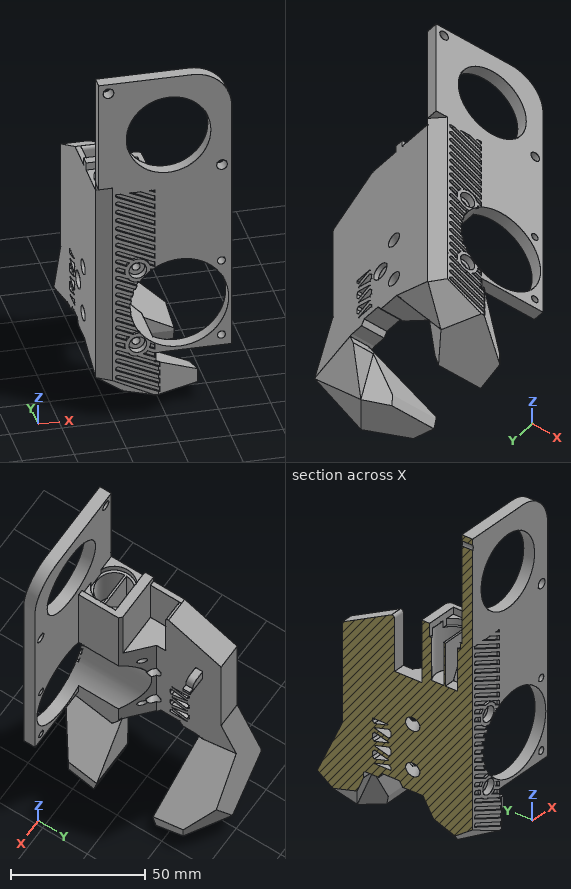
import cadquery as cq
import math


PLATE_WIDTH = 51.0
PLATE_TOP = 144.9
PLATE_BOTTOM = 26.7
PLATE_THICKNESS = 5.2
PLATE_CORNER_RADIUS = 15.2
NECK_WIDTH = 21.6
EDGE_CHAMFER = 5.4
CHAMFER_FOOT_Z = 16.8

UPPER_OPENING_DIAMETER = 32.3
UPPER_OPENING_X = 26.8
UPPER_OPENING_Z = 120.1
PLATE_HOLE_DIAMETER = 4.0
PLATE_HOLES = [(3.8, 141.0), (47.2, 104.5)]
FAN_OPENING_DIAMETER = 37.5
FAN_X = 31.0
FAN_Z = 47.1
FAN_SCREW_SPACING = 32.0
FAN_SCREW_DIAMETER = 3.0
SCREW_HEAD_DIAMETER = 6.7
SCREW_HEAD_DEPTH = 2.9

WALL_THICKNESS = 10.9
BODY_BOTTOM = 22.6
WALL_TOP = 96.9
WALL_TOP_BACK = 38.1
WALL_BACK = 61.7
WALL_BACK_TOP = 84.6
WALL_BACK_BOTTOM = 40.1
DUCT_WIDTH = 21.9
DUCT_TOP = 100.0
DUCT_BACK = 24.2
DUCT_BEVEL_START = 23.0
DUCT_BEVEL_END = 32.7

SOCKET_WIDTH = 19.7
SOCKET_BACK = 20.3
BORE_X = 10.3
BORE_Y = 13.3
BORE_RIM_DIAMETER = 17.5
BORE_DIAMETER = 15.4
BORE_RIM_DEPTH = 2.9
BORE_DEPTH = 21.7
DIVIDER_THICKNESS = 0.9

POCKET_SKIN = 2.2
POCKET_BACK = 36.8
POCKET_FLOOR = 72.5
POCKET_EDGE_RADIUS = 1.5

NOTCH_CENTRE = 38.8
NOTCH_WIDTH = 11.5
NOTCH_TOP_WIDTH = 8.3
NOTCH_HEIGHT = 2.3

SIDE_HOLE_Y = 25.2
SIDE_HOLE_ZS = (32.3, 52.3)
SIDE_HOLE_DIAMETER = 5.6
SIDE_HOLE_LENGTH = 43.5
SIDE_HOLE_TILT = 30.0
RECESS_Y = 33.3
RECESS_Z = 42.2
RECESS_HEIGHT = 6.8
RECESS_DEPTH = 2.2
RECESS_WIDTH = 7.8

WEDGE_COUNT = 6
WEDGE_PITCH = 3.9
WEDGE_FIRST_Z = 28.1
WEDGE_CENTRE_Y = 43.0
WEDGE_LENGTH = 7.7
WEDGE_OFFSET = 0.5
WEDGE_HEIGHT = 3.8
WEDGE_CORNER = 0.9

HOOK_FRONT = 50.3
HOOK_WIDTH = 3.2
HOOK_Z = 68.1
HOOK_HEIGHT = 4.9
HOOK_LENGTH = 6.5
LIP_LENGTH = 2.0
LIP_HEIGHT = 1.5

NOZZLE_END = 41.1
NOZZLE_FOOT_Z = 8.4
NOZZLE_ROOT_X = 22.9

FRONT_SHOULDER = (5.2, 16.1)
FRONT_INNER = (23.6, 22.6)
FRONT_NECK = (21.9, 19.8)
BACK_HEEL = (76.6, 8.0)
BACK_SLOPE = (BACK_HEEL[0] - WALL_BACK) / (WALL_BACK_BOTTOM - BACK_HEEL[1])
BACK_SHOULDER_Z = 16.4
BACK_SHOULDER = (WALL_BACK + BACK_SLOPE * (WALL_BACK_BOTTOM - BACK_SHOULDER_Z), BACK_SHOULDER_Z)
BACK_INNER = (50.3, 22.6)

GROOVE_ANGLE = 25.0
GROOVE_WIDTH = 1.7
GROOVE_DEPTH = 1.0
GROOVE_RUN = 92.7
GROOVE_LEFT = 6.5
GROOVE_RIGHT = NECK_WIDTH
GROOVE_NOZZLE_RIGHT = 23.6
GROOVE_TOP = WALL_TOP
GROOVE_FIRST_Z = 18.0
GROOVE_COUNT = 27
GROOVE_PITCH = GROOVE_RUN / (GROOVE_COUNT - 1)
SCREW_CLEAR_RADIUS = 4.9


def box(x0, x1, y0, y1, z0, z1):
    return cq.Workplane("XY").box(x1 - x0, y1 - y0, z1 - z0, centered=False).translate((x0, y0, z0))


def front_hole(x, z, diameter, depth):
    """Cylinder that enters the front face and runs along +Y."""
    return cq.Workplane("XZ").center(x, z).circle(diameter / 2).extrude(-depth)


def trim(solid, on_a, on_b, on_c):
    """Cut away the side of plane ABC from which A, B and C run counterclockwise."""
    a, b, c = cq.Vector(*on_a), cq.Vector(*on_b), cq.Vector(*on_c)
    plane = cq.Plane(origin=a, normal=(b - a).cross(c - a))
    return solid.cut(cq.Workplane(plane).rect(4 * PLATE_TOP, 4 * PLATE_TOP).extrude(4 * PLATE_TOP))


def trim_edge_on(solid, on_a, on_b):
    """Cut along the plane parallel to X through two (Y, Z) points, A and B."""
    return trim(solid, (0, *on_a), (0, *on_b), (-1.5, *on_a))


def trim_upright(solid, on_a, on_b):
    """Cut along the plane parallel to Z through two (X, Y) points, A and B."""
    return trim(solid, (*on_a, 0), (*on_b, 0), (*on_a, 1.5))


def face_plate():
    outline = (
        cq.Workplane("XZ")
        .moveTo(0, BODY_BOTTOM)
        .lineTo(0, PLATE_TOP)
        .lineTo(PLATE_WIDTH - PLATE_CORNER_RADIUS, PLATE_TOP)
        .radiusArc((PLATE_WIDTH, PLATE_TOP - PLATE_CORNER_RADIUS), PLATE_CORNER_RADIUS)
        .lineTo(PLATE_WIDTH, PLATE_BOTTOM)
        .lineTo(NECK_WIDTH, PLATE_BOTTOM)
        .lineTo(NECK_WIDTH, BODY_BOTTOM)
        .close()
    )
    return outline.extrude(-PLATE_THICKNESS)


def side_wall():
    half, top_half = NOTCH_WIDTH / 2, NOTCH_TOP_WIDTH / 2
    notch_top = BODY_BOTTOM + NOTCH_HEIGHT
    outline = [
        (0, BODY_BOTTOM),
        (NOTCH_CENTRE - half, BODY_BOTTOM),
        (NOTCH_CENTRE - top_half, notch_top),
        (NOTCH_CENTRE + top_half, notch_top),
        (NOTCH_CENTRE + half, BODY_BOTTOM),
        BACK_INNER,
        BACK_SHOULDER,
        (WALL_BACK, WALL_BACK_BOTTOM),
        (WALL_BACK, WALL_BACK_TOP),
        (WALL_TOP_BACK, WALL_TOP),
        (0, WALL_TOP),
    ]
    return cq.Workplane("YZ").polyline(outline).close().extrude(WALL_THICKNESS)


def front_duct():
    section = [
        (0, 0),
        (DUCT_WIDTH, 0),
        (DUCT_WIDTH, DUCT_BEVEL_START),
        (WALL_THICKNESS, DUCT_BEVEL_END),
        (0, DUCT_BEVEL_END),
    ]
    duct = cq.Workplane("XY").workplane(offset=BODY_BOTTOM).polyline(section).close()
    duct = duct.extrude(DUCT_TOP - BODY_BOTTOM)
    return duct.cut(box(0, DUCT_WIDTH, DUCT_BACK, DUCT_BEVEL_END, WALL_TOP, DUCT_TOP))


def front_nozzle():
    """Convex spout on the front duct, joined by a root that fills the corner below the duct."""
    underside_corner = (12.3, 12.6, 4.2)
    foot = (NECK_WIDTH, 0, NOZZLE_FOOT_Z)
    lip_bottom = (24.9, 0)
    lip_top = (26.2, 5.5)
    lip_bottom_corner = (21.0, *lip_bottom)
    lip_top_corner = (20.3, *lip_top)
    crown = (NOZZLE_ROOT_X, 0, BODY_BOTTOM)
    mouth_front = (NOZZLE_END, 13.5, 9.4)

    block = box(0, NOZZLE_END, 0, WALL_BACK, 0, BODY_BOTTOM)
    block = trim_edge_on(block, lip_bottom, (0, NOZZLE_FOOT_Z))
    block = trim_edge_on(block, lip_top, lip_bottom)
    block = trim(block, (EDGE_CHAMFER, 0, CHAMFER_FOOT_Z), underside_corner, foot)
    block = trim(block, (0, *FRONT_SHOULDER), (0, *FRONT_INNER), underside_corner)

    root = block.intersect(box(0, DUCT_WIDTH, 0, WALL_BACK, 0, BODY_BOTTOM))
    root = trim_edge_on(root, FRONT_INNER, underside_corner[1:])
    spout = trim_edge_on(block, FRONT_NECK, lip_top)
    spout = trim(spout, underside_corner, lip_top_corner, lip_bottom_corner)
    spout = trim_upright(spout, crown[:2], mouth_front[:2])
    spout = trim(spout, crown, mouth_front, (NOZZLE_END, *lip_top))
    return root.union(spout)


def back_nozzle():
    """Convex spout that carries the rear of the side wall inward and down."""
    underside_corner = (11.3, 59.1, 2.2)
    ridge = (WALL_THICKNESS, 68.4, 25.5)
    ridge_end = (30.5, 72.6, 16.2)
    heel = (25.4, *BACK_HEEL)
    top_face_corner = (13.9, 53.9, 20.3)
    mouth_back = (NOZZLE_END, 65.0)
    lip_bottom = (52.7, 0)
    lip_top = (51.5, 4.2)
    lip_bottom_corner = (21.0, *lip_bottom)
    lip_top_corner = (20.3, *lip_top)

    block = box(0, NOZZLE_END, lip_top[0], heel[1], 0, ridge[2])
    block = trim_edge_on(block, heel[1:], lip_bottom)
    block = trim_edge_on(block, lip_bottom, lip_top)
    block = trim_edge_on(block, (WALL_BACK, WALL_BACK_BOTTOM), heel[1:])
    block = trim(block, (0, *BACK_SHOULDER), underside_corner, (0, *BACK_INNER))
    block = trim(block, (0, *BACK_SHOULDER), heel, underside_corner)
    block = trim_upright(block, mouth_back, heel[:2])
    block = trim(block, ridge, top_face_corner, ridge_end)

    root = trim_edge_on(block, underside_corner[1:], BACK_INNER)
    spout = trim(block, underside_corner, lip_bottom_corner, lip_top_corner)
    return root.union(spout)


def hook():
    """Tongue with a rounded top end and a small lip at its tip."""
    bend = HOOK_HEIGHT / 2
    tip = WALL_THICKNESS + HOOK_LENGTH
    tongue = (
        cq.Workplane("XZ", origin=(0, HOOK_FRONT, 0))
        .moveTo(0, HOOK_Z)
        .lineTo(tip + LIP_LENGTH, HOOK_Z)
        .lineTo(tip + LIP_LENGTH, HOOK_Z + LIP_HEIGHT)
        .lineTo(tip, HOOK_Z + LIP_HEIGHT)
        .lineTo(tip, HOOK_Z + HOOK_HEIGHT - bend)
        .radiusArc((tip - bend, HOOK_Z + HOOK_HEIGHT), -bend)
        .lineTo(0, HOOK_Z + HOOK_HEIGHT)
        .close()
    )
    return tongue.extrude(-HOOK_WIDTH)


def edge_chamfer():
    section = [(0, 0), (EDGE_CHAMFER, 0), (0, PLATE_THICKNESS)]
    return cq.Workplane("XY").polyline(section).close().extrude(DUCT_TOP)


def socket():
    recess = box(0, SOCKET_WIDTH, PLATE_THICKNESS, SOCKET_BACK, WALL_TOP, DUCT_TOP)
    top = cq.Workplane("XY", origin=(BORE_X, BORE_Y, WALL_TOP))
    rim = top.circle(BORE_RIM_DIAMETER / 2).extrude(-BORE_RIM_DEPTH)
    rim = rim.intersect(box(0, SOCKET_WIDTH, PLATE_THICKNESS, SOCKET_BACK, POCKET_FLOOR, DUCT_TOP))
    bore = top.circle(BORE_DIAMETER / 2).extrude(-BORE_DEPTH)
    bore = bore.cut(divider()).cut(ramp())
    return recess.union(rim).union(bore)


def divider():
    """Rib across the bore, below its rim."""
    half = DIVIDER_THICKNESS / 2
    return box(0, SOCKET_WIDTH, BORE_Y - half, BORE_Y + half, 0, WALL_TOP - BORE_RIM_DEPTH)


def ramp():
    """Steep slope that falls from the inner side of the bore to its floor, in the front half."""
    floor = WALL_TOP - BORE_DEPTH
    section = [(BORE_X, floor), (SOCKET_WIDTH, floor), (SOCKET_WIDTH, WALL_TOP - BORE_RIM_DEPTH)]
    return cq.Workplane("XZ").polyline(section).close().extrude(-BORE_Y)


def pocket():
    """Well behind the duct, open to the top and to the inner side."""
    well = box(POCKET_SKIN, DUCT_WIDTH, DUCT_BACK, POCKET_BACK, POCKET_FLOOR, DUCT_TOP)
    lead_in = box(POCKET_SKIN, DUCT_WIDTH, POCKET_BACK, POCKET_BACK + POCKET_EDGE_RADIUS,
                  WALL_TOP - POCKET_EDGE_RADIUS, WALL_TOP)
    roller = (
        cq.Workplane("YZ", origin=(POCKET_SKIN, 0, 0))
        .center(POCKET_BACK + POCKET_EDGE_RADIUS, WALL_TOP - POCKET_EDGE_RADIUS)
        .circle(POCKET_EDGE_RADIUS)
        .extrude(DUCT_WIDTH)
    )
    return well.union(lead_in.cut(roller))


def side_hole(z):
    """Hole that enters the side wall tilted toward the back and leaves through the duct bevel."""
    tilt = math.radians(SIDE_HOLE_TILT)
    plane = cq.Plane(origin=(0, SIDE_HOLE_Y, z), normal=(math.cos(tilt), math.sin(tilt), 0))
    return cq.Workplane(plane).circle(SIDE_HOLE_DIAMETER / 2).extrude(SIDE_HOLE_LENGTH / 2, both=True)


def side_recess():
    centre = cq.Workplane("YZ").center(RECESS_Y, RECESS_Z)
    return centre.ellipse(RECESS_WIDTH / 2, RECESS_HEIGHT / 2).extrude(RECESS_DEPTH)


def wedge_windows():
    """Wedges that point forward and backward in turn; the end ones are halved."""
    outlines = cq.Workplane("YZ")
    half = WEDGE_HEIGHT / 2
    for i in range(WEDGE_COUNT):
        side = 1 if i % 2 else -1
        blunt = WEDGE_CENTRE_Y + side * (WEDGE_LENGTH / 2 + WEDGE_OFFSET)
        shoulder = blunt - side * WEDGE_CORNER
        point = blunt - side * WEDGE_LENGTH
        z = WEDGE_FIRST_Z + i * WEDGE_PITCH
        outline = [
            (point, z),
            (shoulder, z + half),
            (blunt, z + half - WEDGE_CORNER),
            (blunt, z - half + WEDGE_CORNER),
            (shoulder, z - half),
        ]
        outlines = outlines.polyline(outline).close()
    row_top = WEDGE_FIRST_Z + (WEDGE_COUNT - 1) * WEDGE_PITCH
    window_area = box(0, WALL_THICKNESS, 0, WALL_BACK, WEDGE_FIRST_Z, row_top)
    return outlines.extrude(WALL_THICKNESS).intersect(window_area)


def fan_screw_places():
    half = FAN_SCREW_SPACING / 2
    return [(FAN_X + sx * half, FAN_Z + sz * half) for sx in (-1, 1) for sz in (-1, 1)]


def grip_grooves():
    """Slanted round-ended grooves, kept clear of the fan screws within the neck width."""
    slope = math.radians(GROOVE_ANGLE)
    length = 2 * (GROOVE_RIGHT - GROOVE_LEFT) / math.cos(slope)
    end_x = GROOVE_LEFT + GROOVE_WIDTH / 2
    centres = []
    reach = (length - GROOVE_WIDTH) / 2
    for i in range(GROOVE_COUNT):
        end_z = GROOVE_FIRST_Z + i * GROOVE_PITCH
        centres.append((end_x + reach * math.cos(slope), end_z - reach * math.sin(slope)))
    outlines = cq.Workplane("XZ").pushPoints(centres).slot2D(length, GROOVE_WIDTH, -GROOVE_ANGLE)
    grooves = outlines.extrude(-GROOVE_DEPTH)
    field = box(GROOVE_LEFT, GROOVE_RIGHT, 0, GROOVE_DEPTH, 0, GROOVE_TOP)
    field = field.union(box(GROOVE_RIGHT, GROOVE_NOZZLE_RIGHT, 0, GROOVE_DEPTH, 0, BODY_BOTTOM))
    for x, z in fan_screw_places():
        field = field.cut(front_hole(x, z, 2 * SCREW_CLEAR_RADIUS, GROOVE_DEPTH))
    return grooves.intersect(field)


body = face_plate().union(side_wall()).union(front_duct())
body = body.cut(socket()).cut(pocket())
body = body.union(front_nozzle()).union(back_nozzle()).union(hook())
body = body.cut(edge_chamfer())

body = body.cut(front_hole(UPPER_OPENING_X, UPPER_OPENING_Z, UPPER_OPENING_DIAMETER, PLATE_THICKNESS))
for hole_x, hole_z in PLATE_HOLES:
    body = body.cut(front_hole(hole_x, hole_z, PLATE_HOLE_DIAMETER, PLATE_THICKNESS))

body = body.cut(front_hole(FAN_X, FAN_Z, FAN_OPENING_DIAMETER, WALL_BACK))
for screw_x, screw_z in fan_screw_places():
    body = body.cut(front_hole(screw_x, screw_z, FAN_SCREW_DIAMETER, WALL_BACK))
    if screw_x < FAN_X:
        body = body.cut(front_hole(screw_x, screw_z, SCREW_HEAD_DIAMETER, SCREW_HEAD_DEPTH))

for side_hole_z in SIDE_HOLE_ZS:
    body = body.cut(side_hole(side_hole_z))
body = body.cut(side_recess())

result = body.cut(wedge_windows()).cut(grip_grooves())